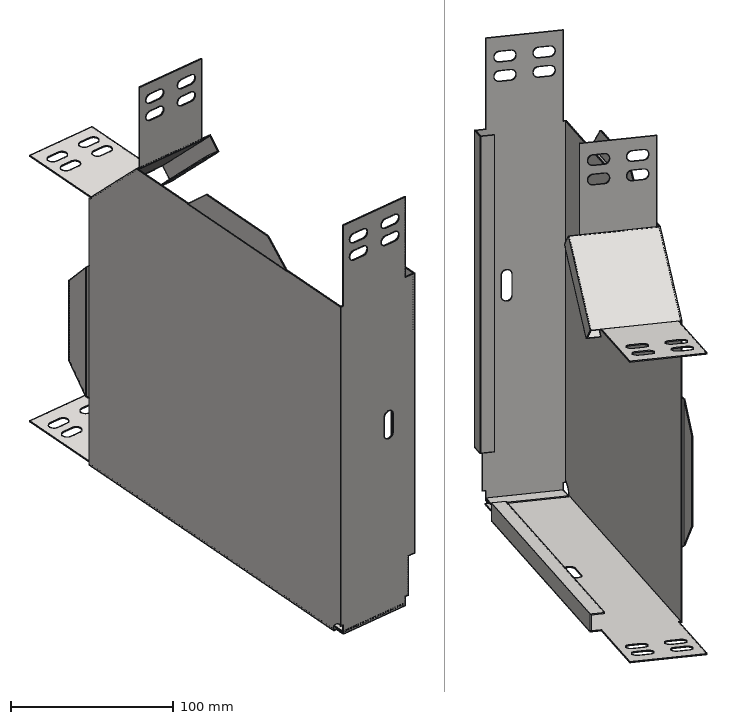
import cadquery as cq
import math


size = 304.0
depth = 60.8
sheet = 0.75
strap_length = 60.0
corner_cut = 46.0

panel_front = 1.5
strap_front = 3.5
strap_back = 53.5
low_wall_back = 56.0

lip_width = 12.0
lip_return = 9.5
lip_gap = 36.0

relief_radius = 7.5
wall_setback = 6.7
flap_length = 12.0
flap_level = 1.2

slot_width = 7.0
slot_length = 14.3
slot_first = 12.0
slot_pitch = 12.8
slot_spread = 25.2
outer_slot_shift = 1.2

wall_slot_length = 20.7
wall_slot_x = 163.8
wall_slot_y = 40.0

tab_reach = 17.5
tab_base = 98.8
tab_tip = 59.5
joggle_width = 1.2
tab_center = 98.8

panel_top = size - strap_length
cut_start = panel_top - corner_cut


def box(x_range, y_range, z_range):
    """Axis-aligned block between the given limits."""
    lengths = [high - low for low, high in (x_range, y_range, z_range)]
    corner = (x_range[0], y_range[0], z_range[0])
    return cq.Workplane("XY").box(*lengths, centered=False).translate(corner)


def prism(points, y_start, y_end):
    """XZ outline extruded along Y."""
    outline = cq.Workplane("XZ", origin=(0, y_start, 0)).polyline(points).close()
    return outline.extrude(y_start - y_end)


def across_diagonal(shape):
    """Mirror image about the diagonal of the bend."""
    return shape.mirror(cq.Vector(1, 0, 1), (size / 2, 0, size / 2))


def make_panel():
    outline = [
        (strap_length, 0),
        (size, 0),
        (size, panel_top),
        (strap_length + corner_cut, panel_top),
        (strap_length, cut_start),
    ]
    panel = prism(outline, panel_front, panel_front + sheet)
    relief = cq.Workplane("XZ", origin=(size, 0, 0)).circle(relief_radius).extrude(-depth)
    return panel.cut(relief)


def make_tab():
    """Trapezoid tab on the left edge, stepped forward from the panel by a slanted joggle."""
    tip_x = strap_length - tab_reach
    outline = [
        (strap_length, tab_center - tab_base / 2),
        (tip_x, tab_center - tab_tip / 2),
        (tip_x, tab_center + tab_tip / 2),
        (strap_length, tab_center + tab_base / 2),
    ]
    front_edge = [
        (tip_x, 0),
        (strap_length - joggle_width, 0),
        (strap_length, panel_front),
    ]
    back_edge = [(x, y + sheet) for x, y in reversed(front_edge)]
    profile = cq.Workplane("XY").polyline(front_edge + back_edge).close().extrude(size)
    return profile.intersect(prism(outline, 0, depth))


def make_strap(z_top, end_distance):
    """Horizontal strap with four slots; end_distance locates the first slot row."""
    strap = box((0, strap_length), (strap_front, strap_back), (z_top - sheet, z_top))
    slot_x = end_distance + slot_pitch / 2
    slot_y = (strap_front + strap_back) / 2
    slots = (
        cq.Workplane("XY", origin=(slot_x, slot_y, z_top - 2 * sheet))
        .rarray(slot_pitch, slot_spread, 2, 2)
        .slot2D(slot_length, slot_width, 90)
        .extrude(3 * sheet)
    )
    return strap.cut(slots)


def make_outer_wall():
    """Bottom wall with its slot, returned lip and strap."""
    lip_end = size - lip_gap
    lip_range = (strap_length, lip_end)
    wall = box((strap_length, size), (strap_front, strap_back), (0, sheet))
    wall = wall.union(box((strap_length, size - wall_setback), (panel_front, low_wall_back), (0, sheet)))
    wall = wall.union(box(lip_range, (panel_front, depth), (0, sheet)))
    wall = wall.union(box(lip_range, (depth - sheet, depth), (0, lip_width)))
    wall = wall.union(box(lip_range, (depth - lip_return, depth), (lip_width - sheet, lip_width)))
    slot = (
        cq.Workplane("XY", origin=(wall_slot_x, wall_slot_y, -sheet))
        .slot2D(wall_slot_length, slot_width)
        .extrude(3 * sheet)
    )
    return wall.cut(slot).union(make_strap(sheet, slot_first + outer_slot_shift))


def slanted_strip(near, far, y_start, y_end):
    """Strip parallel to the corner cut, between two distances inward from it."""
    def end_points(distance):
        step = distance / math.sqrt(2)
        lower = (strap_length + step, cut_start - step)
        upper = (strap_length + corner_cut + step, panel_top - step)
        return lower, upper

    near_low, near_high = end_points(near)
    far_low, far_high = end_points(far)
    return prism([near_low, near_high, far_high, far_low], y_start, y_end)


def make_inner_wall():
    """Slanted wall with its returned lip and a strap at each end."""
    wall = slanted_strip(0, sheet, panel_front, depth)
    wall = wall.union(slanted_strip(0, lip_width, depth - sheet, depth))
    wall = wall.union(slanted_strip(lip_width - sheet, lip_width, depth - lip_return, depth))
    lap_x = (strap_length, strap_length + sheet)
    lap = box(lap_x, (strap_front, strap_back), (cut_start - sheet, cut_start))
    strap = make_strap(cut_start, slot_first).union(lap)
    return wall.union(strap).union(across_diagonal(strap))


def make_corner_flap():
    """Flap of the +X wall folded over the inside of the bottom wall."""
    return box((size - flap_length, size), (strap_front, strap_back), (flap_level, flap_level + sheet))


outer_wall = make_outer_wall()
tab = make_tab()

result = make_panel()
for feature in (
    outer_wall,
    across_diagonal(outer_wall),
    make_inner_wall(),
    tab,
    across_diagonal(tab),
    make_corner_flap(),
):
    result = result.union(feature)